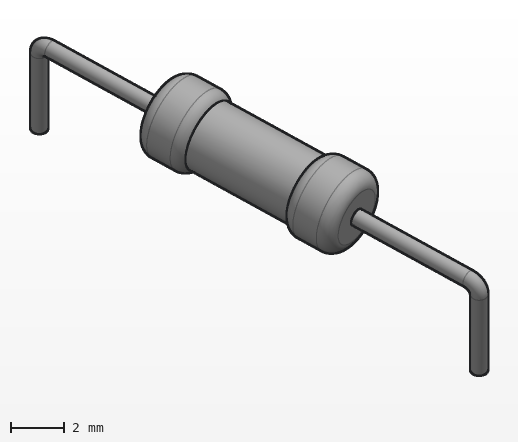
import cadquery as cq

lead_diameter = 0.7
lead_pitch = 20.32
bend_radius = 0.5
axis_height = 4.75

body_length = 9.0
core_diameter = 2.94
cap_diameter = 3.5
cap_length = body_length / 4
cap_round = cap_diameter / 6


def make_core():
    """Plain cylinder running between the two end caps."""
    half_core = body_length / 2 - cap_length / 2
    return cq.Workplane("YZ").circle(core_diameter / 2).extrude(half_core, both=True)


def make_cap(side):
    """Rounded end cap; side is -1 for the -X end and +1 for the +X end."""
    cap = (
        cq.Workplane("YZ")
        .workplane(offset=body_length / 2 - cap_length)
        .circle(cap_diameter / 2)
        .extrude(cap_length)
        .edges().fillet(cap_round)
    )
    return cap if side > 0 else cap.mirror("YZ")


def make_lead():
    """One wire along the body axis, bent down at both ends."""
    half_pitch = lead_pitch / 2
    path = (
        cq.Workplane("XZ")
        .moveTo(-half_pitch, -axis_height)
        .lineTo(-half_pitch, -bend_radius)
        .radiusArc((-half_pitch + bend_radius, 0), bend_radius)
        .lineTo(half_pitch - bend_radius, 0)
        .radiusArc((half_pitch, -bend_radius), bend_radius)
        .lineTo(half_pitch, -axis_height)
    )
    return (
        cq.Workplane("XY", origin=(-half_pitch, 0, -axis_height))
        .circle(lead_diameter / 2)
        .sweep(path)
    )


result = make_core().union(make_lead())
for side in (-1, 1):
    result = result.union(make_cap(side))